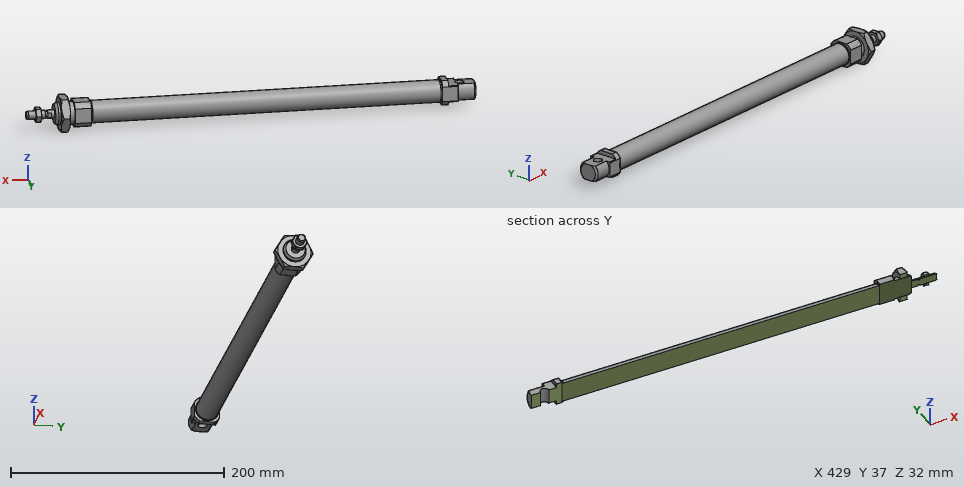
import cadquery as cq
import math

SHOULDER_X = 17.5
REAR_BLOCK_X = 26.5
BARREL_START = 32.5
BARREL_END = 368.5
NECK_START = 384.5
MOUNTING_NUT_X = 389.5
NECK_END = 402.5
THREAD_START = 411.0
ROD_NUT_X = 415.3
ROD_END = 429.0

BLOCK_WIDTH = 24.0
BLOCK_CORNER_RADIUS = 28.0 / 2
COLLAR_RADIUS = 22.5 / 2
COLLAR_LENGTH = 1.5
FORK_RADIUS = 22.0 / 2
FORK_THICKNESS = 16.0
FORK_CHAMFER_LENGTH = 1.7
FORK_CHAMFER_DEPTH = 2.0
PIVOT_X = 14.0
PIVOT_DIAMETER = 8.5
NECK_RADIUS = 22.0 / 2
NECK_CHAMFER_LENGTH = 2.5
NECK_CHAMFER_DEPTH = 1.7

BARREL_RADIUS = 21.5 / 2

ROD_RADIUS = 8.0 / 2
ROD_FLATS_X = 405.5
ROD_FLATS_WIDTH = 7.0
ROD_FLATS_LENGTH = 3.5
UNDERCUT_X = ROD_FLATS_X + ROD_FLATS_LENGTH
UNDERCUT_RADIUS = 3.0
ROD_CHAMFER_LENGTH = 1.7
ROD_CHAMFER_DEPTH = 1.0

MOUNTING_NUT_CORNERS = 37.0
MOUNTING_NUT_THICKNESS = 8.0
ROD_NUT_CORNERS = 15.0
ROD_NUT_THICKNESS = 5.0
NUT_CHAMFER_ANGLE = 30


def turned(outline):
    """Revolve an (x, radius) outline about the X axis; it is closed along the axis."""
    points = [(outline[0][0], 0), *outline, (outline[-1][0], 0)]
    return cq.Workplane("XZ").polyline(points).close().revolve(360, (0, 0, 0), (1, 0, 0))


def bar(start, end, width, height):
    """Rectangular bar centred on the X axis: width along Y, height along Z."""
    return cq.Workplane("YZ").workplane(offset=start).rect(width, height).extrude(end - start)


def turned_block(start, end, height):
    """Block of the given height along Z, with its corners turned to the corner radius."""
    disc = turned([(start, BLOCK_CORNER_RADIUS), (end, BLOCK_CORNER_RADIUS)])
    return disc.intersect(bar(start, end, BLOCK_WIDTH, height))


def make_collar(start):
    """Ring that closes around one end of the barrel."""
    end = start + COLLAR_LENGTH
    ring = turned([(start, COLLAR_RADIUS), (end, COLLAR_RADIUS)])
    return ring.cut(turned([(start, BARREL_RADIUS), (end, BARREL_RADIUS)]))


def make_rear_cap():
    """Pivot fork, wider shoulder and full block, with a collar around the barrel."""
    fork = turned([
        (0, FORK_RADIUS - FORK_CHAMFER_DEPTH),
        (FORK_CHAMFER_LENGTH, FORK_RADIUS),
        (REAR_BLOCK_X, FORK_RADIUS),
    ])
    fork = fork.intersect(bar(0, REAR_BLOCK_X, BLOCK_WIDTH, FORK_THICKNESS))
    shoulder = turned_block(SHOULDER_X, REAR_BLOCK_X, FORK_THICKNESS)
    block = turned_block(REAR_BLOCK_X, BARREL_START, BLOCK_WIDTH)
    pivot_hole = (
        cq.Workplane("XY").center(PIVOT_X, 0).circle(PIVOT_DIAMETER / 2).extrude(FORK_THICKNESS, both=True)
    )
    return fork.union(shoulder).union(block).union(make_collar(BARREL_START)).cut(pivot_hole)


def make_barrel():
    """Plain round barrel between the two caps."""
    return turned([(BARREL_START, BARREL_RADIUS), (BARREL_END, BARREL_RADIUS)])


def make_front_cap():
    """Full block with a threaded neck in front and a collar around the barrel."""
    block = turned_block(BARREL_END, NECK_START, BLOCK_WIDTH)
    neck = turned([
        (NECK_START, NECK_RADIUS),
        (NECK_END - NECK_CHAMFER_LENGTH, NECK_RADIUS),
        (NECK_END, NECK_RADIUS - NECK_CHAMFER_DEPTH),
    ])
    return block.union(neck).union(make_collar(BARREL_END - COLLAR_LENGTH))


def make_piston_rod():
    """Rod with two wrench flats, an undercut and a chamfered threaded end."""
    rod = turned([
        (NECK_END, ROD_RADIUS),
        (UNDERCUT_X, ROD_RADIUS),
        (UNDERCUT_X, UNDERCUT_RADIUS),
        (THREAD_START, UNDERCUT_RADIUS),
        (THREAD_START, ROD_RADIUS),
        (ROD_END - ROD_CHAMFER_LENGTH, ROD_RADIUS),
        (ROD_END, ROD_RADIUS - ROD_CHAMFER_DEPTH),
    ])
    wrench_section = bar(ROD_FLATS_X, UNDERCUT_X, 2 * ROD_RADIUS, 2 * ROD_RADIUS)
    between_flats = bar(ROD_FLATS_X, UNDERCUT_X, ROD_FLATS_WIDTH, 2 * ROD_RADIUS)
    return rod.cut(wrench_section.cut(between_flats))


def make_nut(start, corners, thickness, bore_radius):
    """Hexagon nut with corners along Y and both ends chamfered down to the flats."""
    corner_radius = corners / 2
    flat_radius = corner_radius * math.cos(math.pi / 6)
    chamfer_depth = corner_radius - flat_radius
    chamfer_length = chamfer_depth * math.tan(math.radians(NUT_CHAMFER_ANGLE))
    end = start + thickness
    prism = cq.Workplane("YZ").workplane(offset=start).polygon(6, corners).extrude(thickness)
    envelope = turned([
        (start, flat_radius),
        (start + chamfer_length, corner_radius),
        (end - chamfer_length, corner_radius),
        (end, flat_radius),
    ])
    return prism.intersect(envelope).cut(turned([(start, bore_radius), (end, bore_radius)]))


rear_cap = make_rear_cap()
barrel = make_barrel()
front_cap = make_front_cap()
mounting_nut = make_nut(MOUNTING_NUT_X, MOUNTING_NUT_CORNERS, MOUNTING_NUT_THICKNESS, NECK_RADIUS)
piston_rod = make_piston_rod()
rod_nut = make_nut(ROD_NUT_X, ROD_NUT_CORNERS, ROD_NUT_THICKNESS, ROD_RADIUS)

result = cq.Compound.makeCompound([
    rear_cap.val(),
    barrel.val(),
    front_cap.val(),
    mounting_nut.val(),
    piston_rod.val(),
    rod_nut.val(),
])